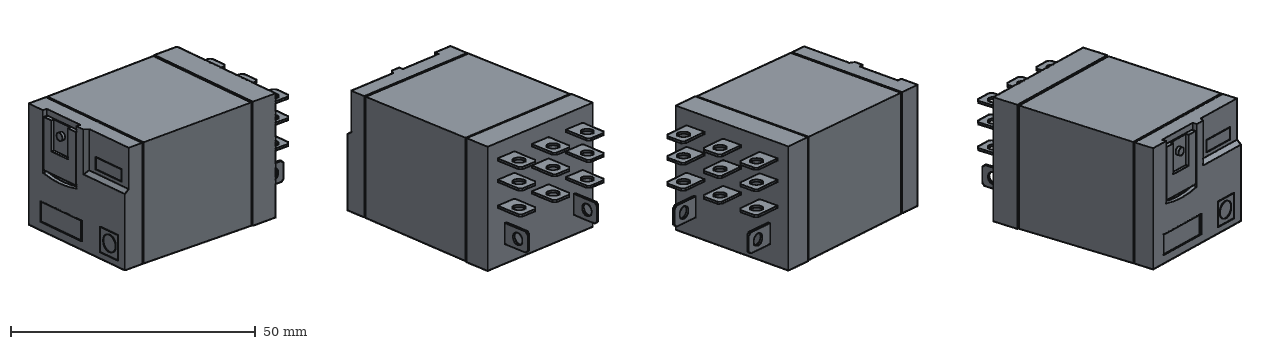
import cadquery as cq


width, height = 30.45, 27.9
total_length = 47.25
housing_length = 40.67
shell_step = 0.1
taper = 0.25
shell_width = width - 2 * shell_step
shell_height = height - 2 * shell_step
front_width = shell_width - 2 * taper
front_height = shell_height - 2 * taper
joint_gap = 0.3
joint_depth = 0.2
base_start = 34.5
cap_length = 4.8
shell_start = cap_length + joint_gap
shell_end = base_start - joint_gap

recess_depth = 1.05
corner_x, corner_z = 2.1, 3.55
corner_slope_x, corner_slope_z = 0.6, 0.8
window_left, window_right = -10.45, -0.1
window_bottom = -0.43
window_sag = 0.6

lever_left, lever_right = -10.3, -0.4
lever_bottom, lever_top = 0.25, 12.2
lever_setback = 0.05
notch_left, notch_right = -7.95, -2.8
notch_bottom = 5.25
notch_depth = 0.75
stud_x, stud_z = (notch_left + notch_right) / 2, 9.4
stud_radius = 0.9

panel_depth = 0.15
tag_left, tag_right = 4.65, 12.65
tag_bottom, tag_top = 5.25, 8.0
label_left, label_right = -11.25, 1.5
label_bottom, label_top = -11.7, -7.15
label_step_width = 0.45
label_depth = 0.3
button_left, button_right = 7.15, 12.65
button_bottom, button_top = -12.2, -6.45
button_radius = 1.95
button_depth = 0.3

blade_width, blade_thickness = 4.85, 0.5
side_blade_width = 4.72
blade_corner = 0.55
blade_hole_diameter = 2.75
blade_hole_setback = 2.85
blade_pitch = 9.85
blade_rows = (10.15, 5.35, -0.45)
side_blade_x, side_blade_z = 10.0, -7.15


def box(x_min, x_max, y_min, y_max, z_min, z_max):
    """Box given by its limits along each axis."""
    size = (x_max - x_min, y_max - y_min, z_max - z_min)
    return cq.Workplane("XY").box(*size, centered=False).translate((x_min, y_min, z_min))


def centred_block(block_width, block_height, y_min, y_max):
    """Block centred on the Y axis."""
    return box(-block_width / 2, block_width / 2, y_min, y_max, -block_height / 2, block_height / 2)


def plane_at(y):
    """Plane facing +Y at the given depth: local x is -X and local y is +Z."""
    return cq.Workplane(cq.Plane(origin=(0, y, 0), xDir=(-1, 0, 0), normal=(0, 1, 0)))


def disc(x, z, radius, y_min, y_max):
    """Cylinder along Y between two depths."""
    return plane_at(y_min).center(-x, z).circle(radius).extrude(y_max - y_min)


def make_joint(outer_width, outer_height, y_start):
    """Core that bridges a joint gap and leaves a shallow groove around the housing."""
    return centred_block(
        outer_width - 2 * joint_depth, outer_height - 2 * joint_depth, y_start, y_start + joint_gap
    )


def make_housing():
    """Front cap, tapered shell and base, joined by a core at each joint."""
    cap = centred_block(front_width, front_height, 0, cap_length)
    shell = (
        plane_at(shell_start).rect(front_width, front_height)
        .workplane(offset=shell_end - shell_start).rect(shell_width, shell_height)
        .loft(ruled=True)
    )
    base = centred_block(width, height, base_start, housing_length)
    front_joint = make_joint(front_width, front_height, cap_length)
    rear_joint = make_joint(width, height, shell_end)
    return cap.union(shell).union(base).union(front_joint).union(rear_joint)


def make_corner_recess():
    """Recess open at the top and at +X, with sloping walls on its other two sides."""

    def section(y, x_min, z_min):
        corners = [(-x_min, z_min), (-width, z_min), (-width, height), (-x_min, height)]
        return plane_at(y).polyline(corners).close().val()

    mouth = section(0, corner_x, corner_z)
    floor = section(recess_depth, corner_x + corner_slope_x, corner_z + corner_slope_z)
    return cq.Workplane(cq.Solid.makeLoft([mouth, floor], True))


def make_window():
    """Lever window, open at the top and closed by an arc at the bottom."""
    middle = (window_left + window_right) / 2
    return (
        plane_at(0)
        .moveTo(-window_left, height).lineTo(-window_left, window_bottom)
        .threePointArc((-middle, window_bottom - window_sag), (-window_right, window_bottom))
        .lineTo(-window_right, height).close()
        .extrude(recess_depth)
    )


def make_lever():
    """Lever plate with a notch open at the top and a round stud in the notch."""
    plate = box(lever_left, lever_right, lever_setback, recess_depth, lever_bottom, lever_top)
    notch = box(notch_left, notch_right, 0, notch_depth, notch_bottom, height)
    stud = disc(stud_x, stud_z, stud_radius, 0, recess_depth)
    return plate.cut(notch).union(stud)


def make_blade(blade_size):
    """Flat terminal along Y, lying in the XY plane, with cut corners and a round hole."""
    return (
        box(-blade_size / 2, blade_size / 2, housing_length, total_length,
            -blade_thickness / 2, blade_thickness / 2)
        .edges("|Z and >Y").chamfer(blade_corner)
        .cut(cq.Workplane("XY").center(0, total_length - blade_hole_setback)
             .circle(blade_hole_diameter / 2).extrude(blade_thickness, both=True))
    )


part = make_housing().cut(make_corner_recess()).cut(make_window()).union(make_lever())

part = part.cut(box(tag_left, tag_right, 0, recess_depth + panel_depth, tag_bottom, tag_top))

part = part.cut(box(label_left, label_right, 0, panel_depth, label_bottom, label_top))
part = part.cut(box(label_left, label_right - label_step_width, 0, label_depth, label_bottom, label_top))

part = part.cut(box(button_left, button_right, 0, panel_depth, button_bottom, button_top))
button_x = (button_left + button_right) / 2
button_z = (button_bottom + button_top) / 2
part = part.cut(disc(button_x, button_z, button_radius, 0, button_depth))

flat_blade = make_blade(blade_width)
for row_z in blade_rows:
    for column in (-1, 0, 1):
        part = part.union(flat_blade.translate((column * blade_pitch, 0, row_z)))

upright_blade = make_blade(side_blade_width).rotate((0, 0, 0), (0, 1, 0), 90)
for side in (-1, 1):
    part = part.union(upright_blade.translate((side * side_blade_x, 0, side_blade_z)))

result = part